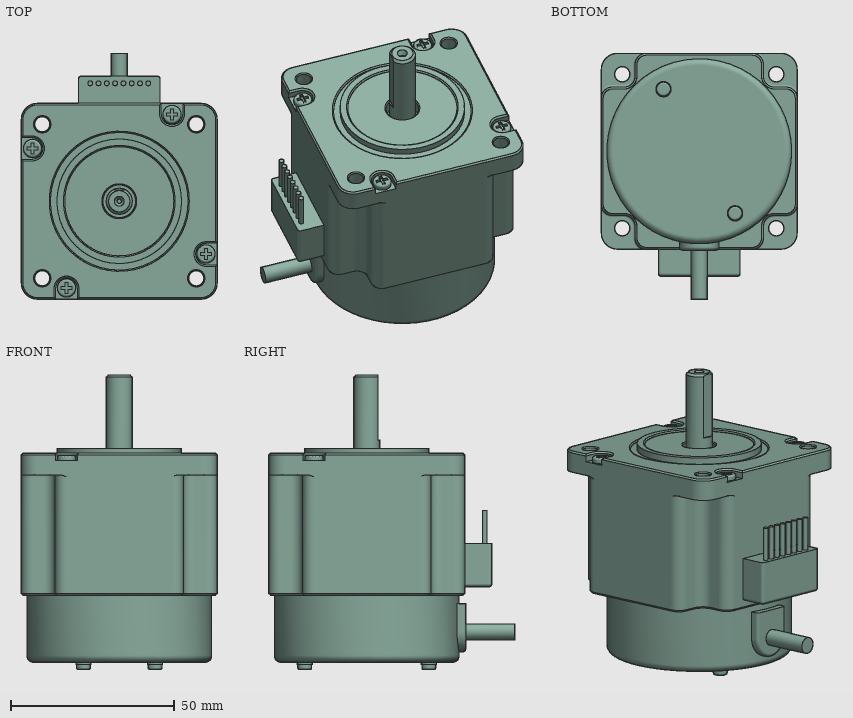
import cadquery as cq
import math


BODY_SIZE = 60.0
HALF_BODY = BODY_SIZE / 2
BODY_BOTTOM = -43.5
BODY_CORNER_RADIUS = 5.0
TOP_CHAMFER = 0.5
BOTTOM_CHAMFER = 0.6

FLANGE_THICKNESS = 6.6
NOTCH_DEPTH = 10.35
NOTCH_EDGE_RADIUS = 3.4
NOTCH_CORNER_RADIUS = 3.4
NOTCH_ROOF_FILLET = 0.6
CUTTER_MARGIN = 5.0

MOUNT_PITCH = 47.14
MOUNT_HOLE_DIAMETER = 4.6
MOUNT_HOLE_CHAMFER = 0.35

PILOT_DIAMETER = 38.1
PILOT_HEIGHT = 1.5
GROOVE_DIAMETER = 42.1
GROOVE_DEPTH = 0.5
RECESS_DIAMETER = 33.4
RECESS_DEPTH = 0.5
RING_CHAMFER = 0.4

SHAFT_DIAMETER = 8.0
SHAFT_TOP = 24.0
SHAFT_CHAMFER = 0.75
SHAFT_FLAT_DISTANCE = 3.5
SHAFT_FLAT_LENGTH = 20.0
BORE_DIAMETER = 10.0
BORE_CHAMFER = 0.35
BORE_DEPTH = 4.0
CENTRE_HOLE_DIAMETER = 1.3
CENTRE_HOLE_DEPTH = 3.5
CENTRE_CONE_DIAMETER = 3.0
CENTRE_CONE_ANGLE = 60.0

SCREW_ALONG_EDGE = 16.15
SCREW_FROM_AXIS = 26.55
POCKET_FROM_AXIS = 26.7
POCKET_WIDTH = 6.6
POCKET_DEPTH = 2.3
POCKET_CHAMFER = 0.5
SCREW_DIAMETER = 5.6
SCREW_HEIGHT = 1.6
SCREW_DOME_RADIUS = 0.7
CROSS_LENGTH = 3.5
CROSS_WIDTH = 0.85
CROSS_DEPTH = 0.8

CAP_DIAMETER = 56.6
CAP_BOTTOM = -64.0
CAP_FILLET = 2.0

CAP_SCREW_X = 10.95
CAP_SCREW_Y = 19.0
WASHER_DIAMETER = 4.7
WASHER_THICKNESS = 0.6
CAP_SCREW_DIAMETER = 4.3
CAP_SCREW_BOTTOM = -66.27
CAP_SCREW_DOME_RADIUS = 0.6

CONNECTOR_WIDTH = 25.0
CONNECTOR_REACH = 8.3
CONNECTOR_TOP = -27.6
CONNECTOR_BOTTOM = -40.9
CONNECTOR_FILLET = 0.9
PIN_COUNT = 8
PIN_PITCH = 2.54
PIN_DIAMETER = 1.5
PIN_HEIGHT = 10.1
PIN_Y = 36.1

CABLE_DIAMETER = 5.0
CABLE_Z = -54.7
CABLE_END_Y = 45.3
GROMMET_RADIUS = 6.1
GROMMET_TOP = -46.0
GROMMET_FACE_Y = 30.3
GROMMET_EDGE_FILLET = 0.9

OVERLAP = 1.0


def disc(diameter, bottom, top, x=0.0, y=0.0):
    """Upright cylinder between two heights."""
    return cq.Workplane("XY", origin=(x, y, bottom)).circle(diameter / 2).extrude(top - bottom)


def chamfered_bore(diameter, depth, chamfer, top, x=0.0, y=0.0):
    """Cutter for a round hole going down from `top`, with a 45 degree edge chamfer."""
    radius = diameter / 2
    profile = (
        cq.Workplane("XZ")
        .lineTo(radius + chamfer, 0)
        .lineTo(radius, -chamfer)
        .lineTo(radius, -depth)
        .lineTo(0, -depth)
        .close()
    )
    return profile.revolve(360, (0, 0, 0), (0, 1, 0)).translate((x, y, top))


def corner_notch_cutter():
    """Cutter for the notch at the (+X, +Y) corner: two convex arcs around a concave one."""
    wall = HALF_BODY - NOTCH_DEPTH
    arc_start = wall - NOTCH_EDGE_RADIUS
    flat_start = HALF_BODY - NOTCH_EDGE_RADIUS
    corner = wall + NOTCH_CORNER_RADIUS
    outside = HALF_BODY + CUTTER_MARGIN
    diagonal = math.sqrt(0.5)
    edge_mid_near = arc_start + NOTCH_EDGE_RADIUS * diagonal
    edge_mid_far = flat_start + NOTCH_EDGE_RADIUS * diagonal
    corner_mid = corner - NOTCH_CORNER_RADIUS * diagonal
    height = -FLANGE_THICKNESS - BODY_BOTTOM + CUTTER_MARGIN
    cutter = (
        cq.Workplane("XY", origin=(0, 0, BODY_BOTTOM - CUTTER_MARGIN))
        .moveTo(arc_start, outside)
        .lineTo(arc_start, HALF_BODY)
        .threePointArc((edge_mid_near, edge_mid_far), (wall, flat_start))
        .lineTo(wall, corner)
        .threePointArc((corner_mid, corner_mid), (corner, wall))
        .lineTo(flat_start, wall)
        .threePointArc((edge_mid_far, edge_mid_near), (HALF_BODY, arc_start))
        .lineTo(outside, arc_start)
        .lineTo(outside, outside)
        .close()
        .extrude(height)
    )
    inside_body = cq.selectors.BoxSelector((0, 0, BODY_BOTTOM), (HALF_BODY, HALF_BODY, 0))
    wall_edges = cutter.faces(">Z").edges(inside_body)
    return wall_edges.fillet(NOTCH_ROOF_FILLET)


def make_body():
    """Square housing with notched corners below the flange."""
    body = (
        cq.Workplane("XY", origin=(0, 0, BODY_BOTTOM))
        .rect(BODY_SIZE, BODY_SIZE)
        .extrude(-BODY_BOTTOM)
        .edges("|Z")
        .fillet(BODY_CORNER_RADIUS)
        .faces(">Z")
        .chamfer(TOP_CHAMFER)
    )
    notch = corner_notch_cutter()
    for quarter in range(4):
        body = body.cut(notch.rotate((0, 0, 0), (0, 0, 1), 90 * quarter))
    return body.faces("<Z").chamfer(BOTTOM_CHAMFER)


def add_pilot(body):
    """Pilot boss in a shallow chamfered groove, with a recessed face."""
    body = body.cut(chamfered_bore(GROOVE_DIAMETER, GROOVE_DEPTH, RING_CHAMFER, 0))
    body = body.union(disc(PILOT_DIAMETER, -OVERLAP, PILOT_HEIGHT))
    return body.cut(chamfered_bore(RECESS_DIAMETER, RECESS_DEPTH, RING_CHAMFER, PILOT_HEIGHT))


def cut_mounting_holes(body):
    """Four chamfered holes through the flange."""
    offset = MOUNT_PITCH / 2
    for x in (-offset, offset):
        for y in (-offset, offset):
            hole = chamfered_bore(MOUNT_HOLE_DIAMETER, FLANGE_THICKNESS, MOUNT_HOLE_CHAMFER, 0, x, y)
            body = body.cut(hole)
    return body


def pocket_outline(width, z):
    """Round-ended slot, open towards +Y, around the flange screw of the +Y edge."""
    radius = width / 2
    open_end = HALF_BODY + CUTTER_MARGIN - POCKET_FROM_AXIS
    return (
        cq.Workplane("XY", origin=(SCREW_ALONG_EDGE, POCKET_FROM_AXIS, z))
        .moveTo(-radius, open_end)
        .lineTo(-radius, 0)
        .threePointArc((0, -radius), (radius, 0))
        .lineTo(radius, open_end)
        .close()
    )


def pocket_cutter():
    """Screw pocket with a 45 degree chamfer at the flange face."""
    straight = pocket_outline(POCKET_WIDTH, -POCKET_DEPTH).extrude(POCKET_DEPTH)
    top_width = POCKET_WIDTH + 2 * POCKET_CHAMFER
    flare = pocket_outline(top_width, 0).extrude(-POCKET_CHAMFER, taper=45)
    return straight.union(flare)


def flange_screw():
    """Domed screw head with a cross recess, standing on the pocket floor."""
    top = SCREW_HEIGHT - POCKET_DEPTH
    head = disc(SCREW_DIAMETER, -POCKET_DEPTH, top).faces(">Z").edges().fillet(SCREW_DOME_RADIUS)
    head = head.union(disc(SCREW_DIAMETER, -POCKET_DEPTH - OVERLAP, -POCKET_DEPTH))
    face = cq.Workplane("XY", origin=(0, 0, top))
    head = head.cut(face.rect(CROSS_LENGTH, CROSS_WIDTH).extrude(-CROSS_DEPTH))
    head = head.cut(face.rect(CROSS_WIDTH, CROSS_LENGTH).extrude(-CROSS_DEPTH))
    return head.translate((SCREW_ALONG_EDGE, SCREW_FROM_AXIS, 0))


def add_flange_screws(body):
    """One pocket and screw near each side, in fourfold symmetry about the axis."""
    pocket = pocket_cutter()
    screw = flange_screw()
    for quarter in range(4):
        angle = 90 * quarter
        body = body.cut(pocket.rotate((0, 0, 0), (0, 0, 1), angle))
        body = body.union(screw.rotate((0, 0, 0), (0, 0, 1), angle))
    return body


def make_shaft(bottom):
    """Chamfered shaft with a flat on its +Y side and a centre hole in its end."""
    shaft = disc(SHAFT_DIAMETER, bottom, SHAFT_TOP).faces(">Z").chamfer(SHAFT_CHAMFER)
    flat = (
        cq.Workplane("XY", origin=(0, SHAFT_FLAT_DISTANCE + SHAFT_DIAMETER / 2, SHAFT_TOP))
        .rect(SHAFT_DIAMETER, SHAFT_DIAMETER)
        .extrude(-SHAFT_FLAT_LENGTH)
    )
    end_face = shaft.cut(flat).faces(">Z").workplane(origin=(0, 0, SHAFT_TOP))
    return end_face.cskHole(
        CENTRE_HOLE_DIAMETER, CENTRE_CONE_DIAMETER, CENTRE_CONE_ANGLE, CENTRE_HOLE_DEPTH
    )


def add_shaft(body):
    """Bore through the pilot and the shaft standing in it."""
    face = PILOT_HEIGHT - RECESS_DEPTH
    body = body.cut(chamfered_bore(BORE_DIAMETER, BORE_DEPTH, BORE_CHAMFER, face))
    return body.union(make_shaft(face - BORE_DEPTH - OVERLAP))


def make_cap():
    """Round cap under the housing with a rounded lower edge."""
    cap = disc(CAP_DIAMETER, CAP_BOTTOM, BODY_BOTTOM + OVERLAP)
    return cap.faces("<Z").edges().fillet(CAP_FILLET)


def cap_screw(x, y):
    """Washer and domed screw head under the cap."""
    washer = disc(WASHER_DIAMETER, CAP_BOTTOM - WASHER_THICKNESS, CAP_BOTTOM + OVERLAP, x, y)
    head = disc(CAP_SCREW_DIAMETER, CAP_SCREW_BOTTOM, CAP_BOTTOM, x, y)
    return washer.union(head.faces("<Z").edges().fillet(CAP_SCREW_DOME_RADIUS))


def make_connector():
    """Connector block with a row of upright pins."""
    depth = CONNECTOR_REACH + OVERLAP
    block = (
        cq.Workplane("XY", origin=(0, HALF_BODY - OVERLAP + depth / 2, CONNECTOR_BOTTOM))
        .rect(CONNECTOR_WIDTH, depth)
        .extrude(CONNECTOR_TOP - CONNECTOR_BOTTOM)
        .edges("(>Y and |Z) or (<Z and |X and >Y) or (<Z and |Y)")
        .fillet(CONNECTOR_FILLET)
    )
    first_x = -PIN_PITCH * (PIN_COUNT - 1) / 2
    for index in range(PIN_COUNT):
        x = first_x + index * PIN_PITCH
        block = block.union(
            disc(PIN_DIAMETER, CONNECTOR_TOP - OVERLAP, CONNECTOR_TOP + PIN_HEIGHT, x, PIN_Y)
        )
    return block


def make_cable_exit():
    """U-shaped grommet, flat on top, with the cable leaving towards +Y."""
    root_y = CAP_DIAMETER / 2 - 2 * OVERLAP
    grommet = (
        cq.Workplane("XZ", origin=(0, GROMMET_FACE_Y, 0))
        .moveTo(-GROMMET_RADIUS, GROMMET_TOP)
        .lineTo(-GROMMET_RADIUS, CABLE_Z)
        .threePointArc((0, CABLE_Z - GROMMET_RADIUS), (GROMMET_RADIUS, CABLE_Z))
        .lineTo(GROMMET_RADIUS, GROMMET_TOP)
        .close()
        .extrude(GROMMET_FACE_Y - root_y)
        .faces(">Y")
        .edges("not >Z")
        .fillet(GROMMET_EDGE_FILLET)
    )
    cable = (
        cq.Workplane("XZ", origin=(0, CABLE_END_Y, CABLE_Z))
        .circle(CABLE_DIAMETER / 2)
        .extrude(CABLE_END_Y - root_y)
    )
    return grommet.union(cable)


result = make_body()
result = add_pilot(result)
result = cut_mounting_holes(result)
result = add_flange_screws(result)
result = add_shaft(result)
result = result.union(make_cap())
for side in (1, -1):
    result = result.union(cap_screw(side * CAP_SCREW_X, side * CAP_SCREW_Y))
result = result.union(make_connector())
result = result.union(make_cable_exit())